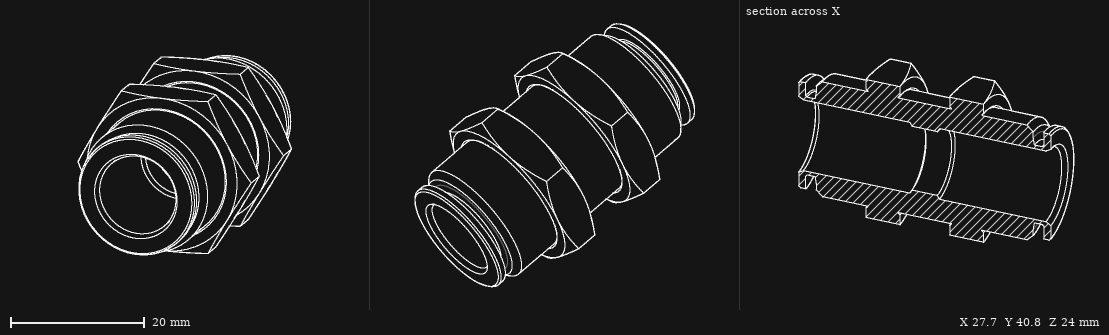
import cadquery as cq
import math

TOTAL_LENGTH = 40.8
HALF_LENGTH = TOTAL_LENGTH / 2

BODY_DIAMETER = 20.0
BODY_LENGTH = 35.1
BODY_CHAMFER = 1.0

LIP_DIAMETER = 16.0
LIP_HEIGHT = 0.2

COLLET_DIAMETER = 18.5
COLLET_THICKNESS = 1.2
COLLET_CHAMFER = 0.3
NECK_DIAMETER = 13.6
NECK_ROOT_CHAMFER = 0.2

BORE_DIAMETER = 11.0
SOCKET_DIAMETER = 12.2
SOCKET_DEPTH = 18.0
SOCKET_CONE_LENGTH = 0.35
MOUTH_DIAMETER = 13.2
MOUTH_CHAMFER_LENGTH = 0.8

NUT_SIDES = 6
NUT_ACROSS_FLATS = 24.0
NUT_THICKNESS = 5.5
NUT_GAP = 8.0
NUT_CHAMFER_ANGLE = 30.0
NUT_MOUTH_DIAMETER = 20.6


def revolve_about_y(points):
    """Solid of revolution about Y from a closed (radius, y) outline."""
    return cq.Workplane("XY").polyline(points).close().revolve(360, (0, 0, 0), (0, 1, 0))


def mirrored_ends(half_profile):
    """Complete a (radius, y) profile for y > 0 with its mirror image in y < 0."""
    other_half = [(radius, -y) for radius, y in reversed(half_profile)]
    return half_profile + other_half


def make_barrel():
    """Body with both collets, as one solid of revolution."""
    body_radius = BODY_DIAMETER / 2
    body_end = BODY_LENGTH / 2
    neck_radius = NECK_DIAMETER / 2
    collet_radius = COLLET_DIAMETER / 2
    collet_inner_face = HALF_LENGTH - COLLET_THICKNESS
    half_profile = [
        (0, HALF_LENGTH),
        (collet_radius - COLLET_CHAMFER, HALF_LENGTH),
        (collet_radius, HALF_LENGTH - COLLET_CHAMFER),
        (collet_radius, collet_inner_face),
        (neck_radius + NECK_ROOT_CHAMFER, collet_inner_face),
        (neck_radius, collet_inner_face - NECK_ROOT_CHAMFER),
        (neck_radius, body_end + LIP_HEIGHT),
        (LIP_DIAMETER / 2, body_end),
        (body_radius - BODY_CHAMFER, body_end),
        (body_radius, body_end - BODY_CHAMFER),
    ]
    return revolve_about_y(mirrored_ends(half_profile))


def make_passage():
    """Through passage with a chamfered tube socket at each end."""
    socket_bottom = HALF_LENGTH - SOCKET_DEPTH
    half_profile = [
        (0, HALF_LENGTH),
        (MOUTH_DIAMETER / 2, HALF_LENGTH),
        (SOCKET_DIAMETER / 2, HALF_LENGTH - MOUTH_CHAMFER_LENGTH),
        (SOCKET_DIAMETER / 2, socket_bottom),
        (BORE_DIAMETER / 2, socket_bottom - SOCKET_CONE_LENGTH),
    ]
    return revolve_about_y(mirrored_ends(half_profile))


def make_nut():
    """Hex nut centred on the origin, flats facing up and down, all corners chamfered."""
    across_corners = NUT_ACROSS_FLATS / math.cos(math.pi / NUT_SIDES)
    half_thickness = NUT_THICKNESS / 2
    corner_radius = across_corners / 2
    face_radius = NUT_ACROSS_FLATS / 2
    chamfer_drop = (corner_radius - face_radius) * math.tan(math.radians(NUT_CHAMFER_ANGLE))
    hexagon = (
        cq.Workplane("XZ")
        .polygon(NUT_SIDES, across_corners)
        .extrude(half_thickness, both=True)
    )
    chamfer_envelope = revolve_about_y(mirrored_ends([
        (0, half_thickness),
        (face_radius, half_thickness),
        (corner_radius, half_thickness - chamfer_drop),
    ]))
    thread_radius = BODY_DIAMETER / 2
    mouth_radius = NUT_MOUTH_DIAMETER / 2
    threaded_hole = revolve_about_y(mirrored_ends([
        (0, half_thickness),
        (mouth_radius, half_thickness),
        (thread_radius, half_thickness - (mouth_radius - thread_radius)),
    ]))
    return hexagon.intersect(chamfer_envelope).cut(threaded_hole)


nut_offset = (NUT_GAP + NUT_THICKNESS) / 2
result = make_barrel()
for side in (-1, 1):
    result = result.union(make_nut().translate((0, side * nut_offset, 0)))
result = result.cut(make_passage())